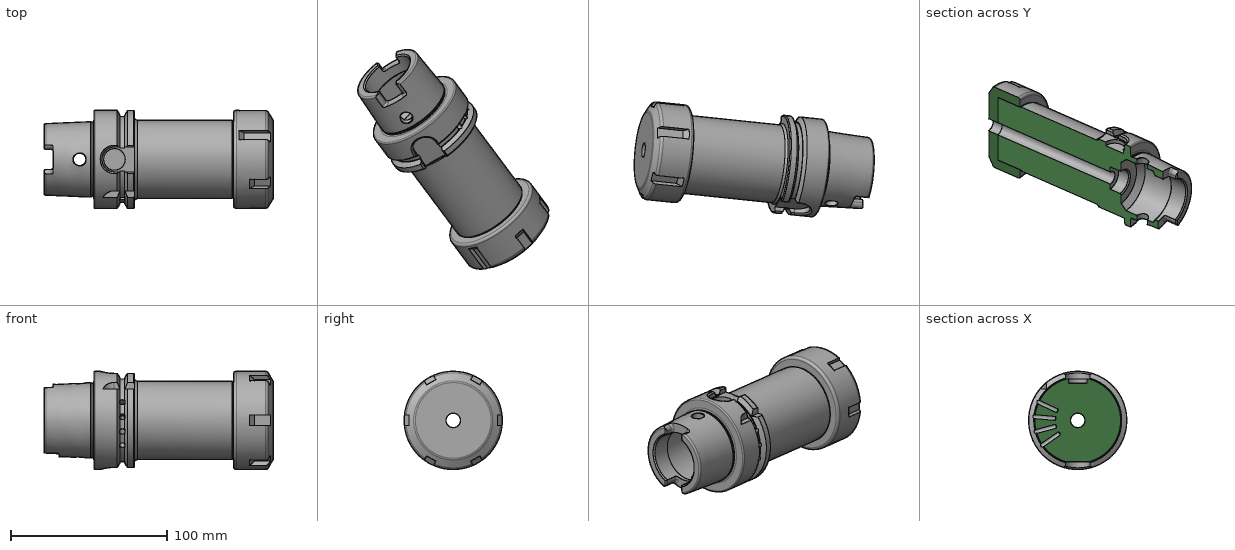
import cadquery as cq
import math


length = 146.7
flange_radius = 31.47
shaft_radius = 25.1
through_radius = 4.5
clearance = 3.0

shank_tip_radius = 22.9
shank_base_radius = 24.2
shank_end = 29.8
tip_fillet = 1.2
relief_start = 30.7
relief_radius = 23.9
relief_end = 31.5
flare_radius = 25.2

mouth_radius = 17.9
mouth_chamfer = 0.9
throat_radius = mouth_radius - mouth_chamfer
throat_end = 12.5
undercut_radius = 19.8
undercut_angle = 60
undercut_end = 39.6
undercut_floor_radius = 15.8
tube_bore_radius = 8.5
tube_bore_chamfer = 0.9
tube_bore_end = 48.4

drive_half_width = 6.3
drive_flare_radius = 3.0
drive_flare_start = 18.0
drive_corner_radius = 1.3
drive_mouth_chamfer_width = 1.0
drive_mouth_chamfer_length = 0.6
upper_drive_depth = 5.9
lower_drive_depth = 9.7

cross_hole_x = 22.7
cross_hole_radius = 4.0
cross_hole_chamfer = 0.3

flange_start = 31.8
flange_end = 58.0
flange_edge_fillet = 0.9
flange_rear_chamfer = 0.7
shoulder_radius = 26.0
shoulder_end = 59.7
groove_radius = 27.6
groove_start = 48.7
groove_end = 51.5
groove_flank_run = 1.9
groove_flank_slope = math.tan(math.radians(30))

keyway_half_width = 7.9
keyway_floor = 26.5
keyway_x = 45.0
keyway_chamfer = 1.2
chip_radius = 6.9
chip_depth = 2.8

notch_offset = 20.1
notch_x = 44.7
notch_cutter_radius = 7.9

balance_angles = [-25, -5, 15, 35]
balance_radius = 1.8
balance_depth = 13.2
balance_tip_angle = 118
balance_x = (groove_start + groove_end) / 2

nut_start = 121.2
neck_radius = 24.6
neck_start = 120.7
nose_end = 139.4
nut_back_fillet = 1.8
nut_front_fillet = 2.2
nut_face_radius = 24.8
nut_cone_angle = 30
nut_cone_start = length - (flange_radius - nut_face_radius) * math.tan(math.radians(nut_cone_angle))

wrench_half_width = 3.4
wrench_floor = 28.2
short_wrench_start = 131.3
long_wrench_start = 124.5
wrench_angles = [-60, 0, 60]


def revolve(points):
    """Solid of revolution about X from (x, radius) points."""
    return cq.Workplane("XY").polyline(points).close().revolve(360, (0, 0, 0), (1, 0, 0))


def cylinder_x(radius, start, end):
    return cq.Workplane("YZ").workplane(offset=start).circle(radius).extrude(end - start)


def box(x_range, y_range, z_range):
    """Box between two limits along each axis."""
    sizes = [high - low for low, high in (x_range, y_range, z_range)]
    corner = (x_range[0], y_range[0], z_range[0])
    return cq.Workplane("XY").box(*sizes, centered=False).translate(corner)


def make_shank_and_shaft():
    """Solid taper shank, core under the flange, shaft and nose."""
    shank = revolve([
        (0, 0), (0, shank_tip_radius), (shank_end, shank_base_radius), (relief_start, relief_radius),
        (relief_end, relief_radius), (flange_start, flare_radius),
        (flange_end, flare_radius), (flange_end, shoulder_radius), (shoulder_end, shaft_radius),
        (neck_start - shaft_radius + neck_radius, shaft_radius), (neck_start, neck_radius),
        (nose_end, neck_radius), (nose_end, 0),
    ])
    return shank.faces("<X").edges().fillet(tip_fillet)


def make_keyway(side):
    """Round-ended keyway open to the rear; side is +1 for +Z and -1 for -Z."""
    run = flange_end + clearance - keyway_x
    height = flange_radius + clearance - keyway_floor
    plane = cq.Workplane("XY").workplane(offset=side * keyway_floor)
    round_end = plane.center(keyway_x, 0).circle(keyway_half_width).extrude(side * height)
    straight = plane.center(keyway_x + run / 2, 0).rect(run, 2 * keyway_half_width).extrude(side * height)
    return round_end.union(straight)


def keyway_mouth(side):
    """Selects the edges where a keyway opens through the outer surface of the flange."""
    half_width = keyway_half_width + clearance
    return cq.selectors.BoxSelector(
        (flange_start + flange_edge_fillet, -half_width, side * (keyway_floor + clearance)),
        (flange_end - clearance, half_width, side * (flange_radius + clearance)),
    )


def make_groove():
    """Ring that cuts the gripper groove: radial walls at the floor, sloped flanks above."""
    outer = flange_radius + clearance
    flank_base = flange_radius - groove_flank_run / groove_flank_slope
    spread = groove_flank_slope * (outer - flank_base)
    return revolve([
        (groove_start - spread, outer), (groove_start, flank_base), (groove_start, groove_radius),
        (groove_end, groove_radius), (groove_end, flank_base), (groove_end + spread, outer),
    ])


def make_orientation_notch():
    """L-shaped notch at -Y +Z whose front end follows a cutter running along Z."""
    outer = flange_radius + clearance
    straight = box((notch_x, flange_end + clearance), (-outer, -notch_offset), (notch_offset, outer))
    round_end = (
        cq.Workplane("XY").workplane(offset=notch_offset)
        .center(notch_x, -notch_offset - notch_cutter_radius)
        .circle(notch_cutter_radius).extrude(outer - notch_offset)
    )
    return straight.union(round_end)


def make_balance_hole(angle):
    """Radial drilled hole in the floor of the gripper groove, turned about the axis from -Y."""
    opening = -groove_radius - clearance
    bottom = balance_depth - groove_radius
    tip = bottom + balance_radius / math.tan(math.radians(balance_tip_angle / 2))
    hole = (
        cq.Workplane("XY").moveTo(balance_x, opening)
        .lineTo(balance_x + balance_radius, opening)
        .lineTo(balance_x + balance_radius, bottom)
        .lineTo(balance_x, tip).close()
        .revolve(360, (balance_x, 0, 0), (balance_x, 1, 0))
    )
    return hole.rotate((0, 0, 0), (1, 0, 0), angle)


def make_chip_pocket():
    """Round blind pocket in the floor of the +Z keyway."""
    sketch = cq.Workplane("XY", origin=(keyway_x, 0, keyway_floor - chip_depth)).circle(chip_radius)
    return sketch.extrude(chip_depth)


def make_flange():
    """Flange with its keyways, gripper groove and orientation notch."""
    flange = cylinder_x(flange_radius, flange_start, flange_end)
    flange = flange.faces("<X").edges().fillet(flange_edge_fillet)
    flange = flange.faces(">X").edges().chamfer(flange_rear_chamfer)
    for side in (1, -1):
        flange = flange.cut(make_keyway(side))
        flange = flange.edges(keyway_mouth(side)).chamfer(keyway_chamfer)
    return flange.cut(make_groove()).cut(make_orientation_notch())


def make_bores():
    """Stepped bore along the whole holder."""
    shoulder_run = (undercut_radius - throat_radius) / math.tan(math.radians(undercut_angle))
    corner_run = undercut_radius - undercut_floor_radius
    return revolve([
        (0, 0), (0, mouth_radius), (mouth_chamfer, throat_radius), (throat_end, throat_radius),
        (throat_end + shoulder_run, undercut_radius), (undercut_end - corner_run, undercut_radius),
        (undercut_end, undercut_floor_radius),
        (undercut_end, tube_bore_radius + tube_bore_chamfer),
        (undercut_end + tube_bore_chamfer, tube_bore_radius), (tube_bore_end, tube_bore_radius),
        (tube_bore_end, through_radius), (nose_end, through_radius), (nose_end, 0),
    ])


def make_drive_slot(depth):
    """Slot in the +Z side of the shank tip, with walls that flare out in quarter arcs."""
    wide = drive_half_width + drive_flare_radius
    flare_end = drive_flare_start + drive_flare_radius
    arc_offset = drive_flare_radius * (1 - math.sqrt(0.5))
    arc_rise = drive_flare_radius * math.sqrt(0.5)
    top = shank_base_radius + clearance
    slot = (
        cq.Workplane("YZ").moveTo(-drive_half_width, 0)
        .lineTo(-drive_half_width, drive_flare_start)
        .threePointArc((-drive_half_width - arc_offset, drive_flare_start + arc_rise), (-wide, flare_end))
        .lineTo(-wide, top).lineTo(wide, top).lineTo(wide, flare_end)
        .threePointArc((drive_half_width + arc_offset, drive_flare_start + arc_rise),
                       (drive_half_width, drive_flare_start))
        .lineTo(drive_half_width, 0).close().extrude(depth)
    )
    slot = slot.faces(">X").edges("not(<Z or >Z)").fillet(drive_corner_radius)
    mouth = (
        cq.Workplane("XY")
        .moveTo(0, drive_half_width + drive_mouth_chamfer_width)
        .lineTo(drive_mouth_chamfer_length, drive_half_width)
        .lineTo(drive_mouth_chamfer_length, -drive_half_width)
        .lineTo(0, -drive_half_width - drive_mouth_chamfer_width)
        .close().extrude(flare_end)
    )
    return slot.union(mouth)


def make_cross_hole():
    """Hole through the shank along Z, chamfered where it opens on the taper."""
    local_radius = shank_tip_radius + (shank_base_radius - shank_tip_radius) * cross_hole_x / shank_end
    sketch = cq.Workplane("XY", origin=(cross_hole_x, 0, 0))
    hole = sketch.circle(cross_hole_radius).extrude(local_radius + clearance, both=True)
    mouth_height = local_radius - cross_hole_chamfer
    for side in (1, -1):
        mouth = (
            sketch.workplane(offset=side * mouth_height)
            .circle(cross_hole_radius + cross_hole_chamfer).extrude(side * clearance)
        )
        hole = hole.union(mouth)
    return hole


def make_holder():
    """Holder in one piece, from the shank tip to the nose inside the nut."""
    holder = make_shank_and_shaft().union(make_flange())
    for side in (1, -1):
        holder = holder.cut(make_keyway(side))
    holder = holder.cut(make_chip_pocket())
    for angle in balance_angles:
        holder = holder.cut(make_balance_hole(angle))
    lower_drive_slot = make_drive_slot(lower_drive_depth).rotate((0, 0, 0), (1, 0, 0), 180)
    holder = holder.cut(make_drive_slot(upper_drive_depth)).cut(lower_drive_slot)
    return holder.cut(make_cross_hole()).cut(make_bores())


def make_wrench_slot(start, angle):
    """Slot with a 45 degree run-out, open at the front cone; angle turns it about the axis from -Y."""
    outer = flange_radius + clearance
    slot = (
        cq.Workplane("XY", origin=(0, 0, -wrench_half_width))
        .moveTo(start - clearance, -outer)
        .lineTo(start + flange_radius - wrench_floor, -wrench_floor)
        .lineTo(length, -wrench_floor).lineTo(length, -outer).close()
        .extrude(2 * wrench_half_width)
    )
    return slot.rotate((0, 0, 0), (1, 0, 0), angle)


def make_nut():
    """Nut with a recess for the holder nose and six wrench slots, the three on +Y longer."""
    nut = revolve([
        (nut_start, 0), (nut_start, flange_radius), (nut_cone_start, flange_radius),
        (length, nut_face_radius), (length, 0),
    ])
    nut = nut.faces("<X").edges().fillet(nut_back_fillet)
    nut = nut.faces("%CONE").edges("%CIRCLE").fillet(nut_front_fillet)
    for angle in wrench_angles:
        nut = nut.cut(make_wrench_slot(short_wrench_start, angle))
        nut = nut.cut(make_wrench_slot(long_wrench_start, angle + 180))
    nose_recess = cylinder_x(neck_radius, nut_start, nose_end)
    through_hole = cylinder_x(through_radius, nut_start, length)
    return nut.cut(nose_recess).cut(through_hole)


holder = make_holder()
collet_nut = make_nut()

result = cq.Compound.makeCompound([holder.solids().val(), collet_nut.solids().val()])